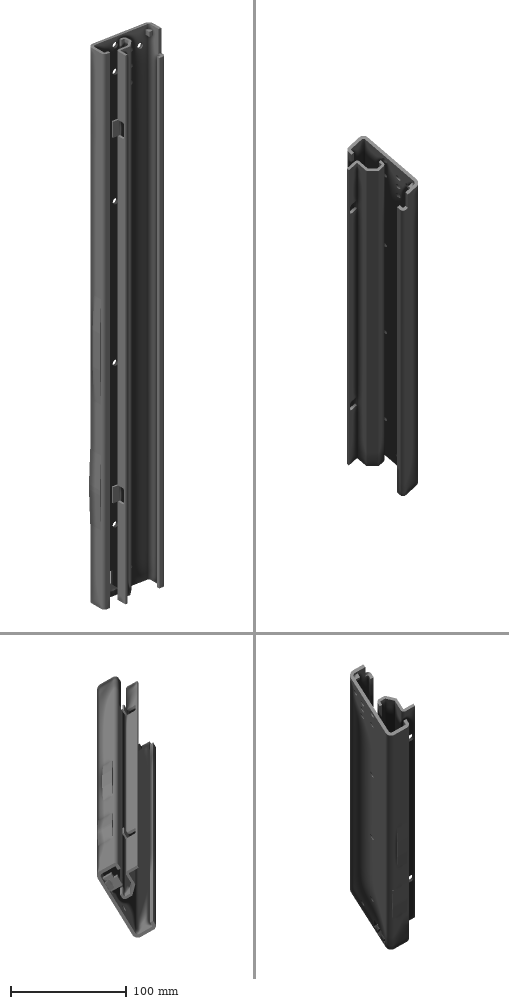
import cadquery as cq
import math

LENGTH = 550.0
OVERALL_WIDTH = 71.0
PAD_RISE = 1.4
RAIL_WIDTH = OVERALL_WIDTH - PAD_RISE
RAIL_DEPTH = 22.0
SHEET = 3.0
BEND_RADIUS = 5.5
LIP_RADIUS = 3.6
LIP_REACH = 7.0

CUTOUT_X_MIN = 16.0
CUTOUT_HEIGHT = 25.0

PAD_X_END = 18.0
PADS = [
    (8.0, 202.0, 236.5, 273.0, 306.5),
    (3.5, 77.5, 113.0, 117.5, 152.0),
]

HOLE_DIAMETER = 6.0
UPPER_HOLES = [(56.5, 531.5), (45.0, 531.5), (45.0, 515.5), (45.0, 499.0)]
LOWER_HOLE = (44.5, 19.0)
ROW_Y = 28.5
ROW_PITCH = 160.0
ROW_FIRST_Z = 67.0
ROW_COUNT = 3
ROW_TOP_Z = [515.5, 542.0]

WINDOW_Y_MIN = 6.5
WINDOW_Y_MAX = 25.5
WINDOW_Z_MIN = 5.5
WINDOW_Z_MAX = 23.0
WINDOW_STEP_Y = 12.0
WINDOW_STEP_Z = 18.5
TAB_Y_MIN = 9.0
TAB_Y_MAX = 22.5
TAB_STEP_Y = 13.0
TAB_REACH = 15.0
TAB_SHORT_REACH = 11.5
TAB_THICKNESS = 5.5
TAB_FOLD_RADIUS = 3.0

GUSSET_Y = 16.5
GUSSET_GROOVE_WIDTH = 5.0
GUSSET_RIB_WIDTH = 8.0
GUSSET_REACH = 7.5
GUSSET_DROP = 3.0
GUSSET_RIB_LEG = 4.5

DENT_Z = 543.0
DENT_HEIGHT = 5.0
DENT_DEPTH = 2.0
DENT_WIDTH = 5.0
BOSS_X_END = 8.0
BOSS_REACH = 7.0

BRACKET_Z_MIN = 6.5
BRACKET_SHEET = 2.5
BRACKET_X_MAX = 34.5
WALL_X = 22.0
FLANGE_Y = 14.0
HOOK_X = 8.0
HOOK_TOP_Y = 35.0
HOOK_TIP_Y = 29.0
SLOPE_TOP_X = 17.0
BRACKET_RADIUS = 0.5

SLOT_Z = [112.0, 474.0]
SLOT_HEIGHT = 16.0
SLOT_X_MIN = WALL_X + BRACKET_SHEET
SLOT_X_MAX = 33.0
SLOT_RADIUS = 2.0
TONGUE_REACH = 5.5
TONGUE_SHEET = 1.5


def box(x_range, y_range, z_range):
    """Axis-aligned block spanning the given (min, max) pairs."""
    (x0, x1), (y0, y1), (z0, z1) = x_range, y_range, z_range
    return cq.Workplane("XY").box(x1 - x0, y1 - y0, z1 - z0, centered=False).translate((x0, y0, z0))


def channel():
    """Bent C section: a rounded outer block less a rounded core and the mouth between the lips."""
    def rounded(inset):
        block = box((inset, RAIL_DEPTH - inset), (inset, RAIL_WIDTH - inset), (0, LENGTH))
        block = block.edges("|Z and <X").fillet(BEND_RADIUS - inset)
        return block.edges("|Z and >X").fillet(LIP_RADIUS - inset)

    mouth = box((RAIL_DEPTH - LIP_RADIUS, RAIL_DEPTH), (LIP_REACH, RAIL_WIDTH - LIP_REACH), (0, LENGTH))
    return rounded(0).cut(rounded(SHEET)).cut(mouth)


def flange_cutout():
    z_span = (LENGTH - CUTOUT_HEIGHT, LENGTH)
    return box((CUTOUT_X_MIN, RAIL_DEPTH), (RAIL_WIDTH - LIP_REACH, RAIL_WIDTH), z_span)


def pad(x_start, z_bottom, z_flat_bottom, z_flat_top, z_top):
    """Raised pad with a ramp at each end, standing out of the lower flange."""
    root_y = SHEET / 2
    outline = [
        (root_y, z_bottom), (0, z_bottom), (-PAD_RISE, z_flat_bottom),
        (-PAD_RISE, z_flat_top), (0, z_top), (root_y, z_top),
    ]
    return (
        cq.Workplane("YZ", origin=(x_start, 0, 0))
        .polyline(outline).close().extrude(PAD_X_END - x_start)
    )


def web_holes():
    row = [(ROW_Y, ROW_FIRST_Z + i * ROW_PITCH) for i in range(ROW_COUNT)]
    row += [(ROW_Y, z) for z in ROW_TOP_Z]
    return (
        cq.Workplane("YZ").pushPoints(UPPER_HOLES + [LOWER_HOLE] + row)
        .circle(HOLE_DIAMETER / 2).extrude(SHEET)
    )


def window():
    outline = [
        (WINDOW_Y_MIN, WINDOW_Z_MIN), (WINDOW_Y_MAX, WINDOW_Z_MIN), (WINDOW_Y_MAX, WINDOW_Z_MAX),
        (WINDOW_STEP_Y, WINDOW_Z_MAX), (WINDOW_STEP_Y, WINDOW_STEP_Z), (WINDOW_Y_MIN, WINDOW_STEP_Z),
    ]
    return cq.Workplane("YZ").polyline(outline).close().extrude(SHEET)


def stop_tab():
    outline = [
        (0, TAB_Y_MIN), (TAB_SHORT_REACH, TAB_Y_MIN), (TAB_SHORT_REACH, TAB_STEP_Y),
        (TAB_REACH, TAB_STEP_Y), (TAB_REACH, TAB_Y_MAX), (0, TAB_Y_MAX),
    ]
    tab = (
        cq.Workplane("XY", origin=(0, 0, WINDOW_Z_MIN))
        .polyline(outline).close().extrude(TAB_THICKNESS)
    )
    return tab.edges("<X and >Z").fillet(TAB_FOLD_RADIUS)


def gusset_wedge(corner, x_end, z_end, width):
    """Triangular prism centred on GUSSET_Y, with its square corner at (X, Z)."""
    x, z = corner
    return (
        cq.Workplane("XZ", origin=(0, GUSSET_Y, 0))
        .polyline([(x, z), (x_end, z), (x, z_end)]).close().extrude(width / 2, both=True)
    )


def gusset_rib():
    return gusset_wedge(
        (SHEET, WINDOW_Z_MIN), SHEET + GUSSET_RIB_LEG, WINDOW_Z_MIN - GUSSET_RIB_LEG, GUSSET_RIB_WIDTH
    )


def gusset_groove():
    tab_top = WINDOW_Z_MIN + TAB_THICKNESS
    return gusset_wedge((0, tab_top), GUSSET_REACH, WINDOW_Z_MIN - GUSSET_DROP, GUSSET_GROOVE_WIDTH)


def dent_span():
    return (DENT_Z - DENT_HEIGHT / 2, DENT_Z + DENT_HEIGHT / 2)


def dent_boss():
    return box((SHEET / 2, BOSS_X_END), (RAIL_WIDTH - BOSS_REACH, RAIL_WIDTH - SHEET / 2), dent_span())


def dent_recess():
    return box((0, DENT_DEPTH), (RAIL_WIDTH - DENT_WIDTH, RAIL_WIDTH), dent_span())


def make_rail():
    rail = channel().cut(flange_cutout())
    for sizes in PADS:
        rail = rail.union(pad(*sizes))
    rail = rail.cut(web_holes()).cut(window()).union(stop_tab())
    rail = rail.union(gusset_rib()).cut(gusset_groove())
    return rail.union(dent_boss()).cut(dent_recess())


def round_edges(body, corners, radius):
    """Fillet the Z-parallel edges nearest to the given (X, Y) corners."""
    for x, y in corners:
        nearest = cq.selectors.NearestToPointSelector((x, y, (BRACKET_Z_MIN + LENGTH) / 2))
        body = body.edges("|Z").edges(nearest).fillet(radius)
    return body


def make_bracket():
    t = BRACKET_SHEET
    shift = t * math.tan(math.radians(22.5))
    slope_drop = WALL_X + t - SLOPE_TOP_X
    outline = [
        (WALL_X, FLANGE_Y), (BRACKET_X_MAX, FLANGE_Y), (BRACKET_X_MAX, FLANGE_Y + t),
        (WALL_X + t, FLANGE_Y + t), (WALL_X + t, HOOK_TOP_Y - slope_drop), (SLOPE_TOP_X, HOOK_TOP_Y),
        (HOOK_X, HOOK_TOP_Y), (HOOK_X, HOOK_TIP_Y), (HOOK_X + t, HOOK_TIP_Y),
        (HOOK_X + t, HOOK_TOP_Y - t), (SLOPE_TOP_X - shift, HOOK_TOP_Y - t),
        (WALL_X, HOOK_TOP_Y - slope_drop - shift),
    ]
    body = (
        cq.Workplane("XY", origin=(0, 0, BRACKET_Z_MIN))
        .polyline(outline).close().extrude(LENGTH - BRACKET_Z_MIN)
    )
    outer_bends = [(WALL_X, FLANGE_Y), (HOOK_X, HOOK_TOP_Y)]
    inner_bends = [(WALL_X + t, FLANGE_Y + t), (HOOK_X + t, HOOK_TOP_Y - t)]
    body = round_edges(body, outer_bends, BRACKET_RADIUS + t)
    return round_edges(body, inner_bends, BRACKET_RADIUS)


def add_slot(bracket, z):
    z_span = (z - SLOT_HEIGHT / 2, z + SLOT_HEIGHT / 2)
    slot = box((SLOT_X_MIN, SLOT_X_MAX), (FLANGE_Y, FLANGE_Y + BRACKET_SHEET), z_span)
    slot = slot.edges("|Y and >X").fillet(SLOT_RADIUS)
    tongue_y = (FLANGE_Y - TONGUE_REACH, FLANGE_Y + BRACKET_SHEET)
    tongue = box((SLOT_X_MIN - TONGUE_SHEET, SLOT_X_MIN), tongue_y, z_span)
    return bracket.cut(slot).union(tongue)


rail = make_rail()
bracket = make_bracket()
for slot_z in SLOT_Z:
    bracket = add_slot(bracket, slot_z)

result = cq.Compound.makeCompound([rail.val(), bracket.val()])